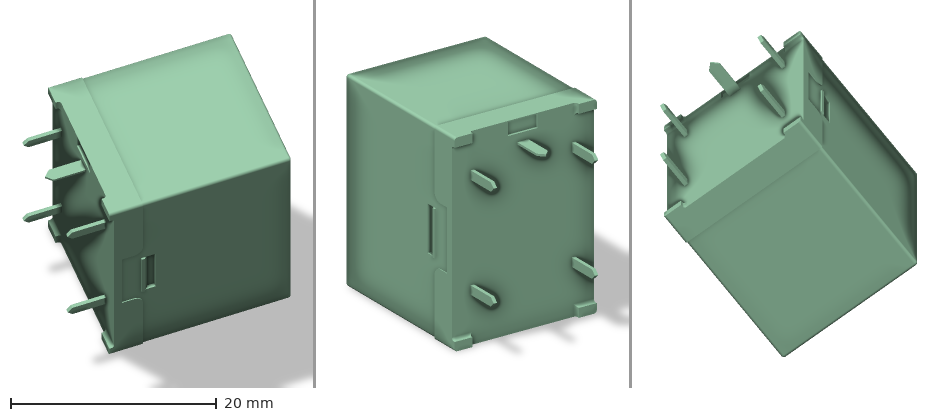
import cadquery as cq


BASE_WIDTH = 16.7
BASE_HEIGHT = 22.7
BASE_STEP = 0.1
COVER_WIDTH = BASE_WIDTH - 2 * BASE_STEP
COVER_HEIGHT = BASE_HEIGHT - 2 * BASE_STEP
FLOOR_Y = 0.5
BASE_TOP_Y = 3.5
REAR_Y = 19.0
EDGE_RADIUS = 0.3

FOOT_WIDTH = 2.1
FOOT_HEIGHT = 1.05
FOOT_FILLET = 0.3

TONGUE_END_Y = 1.3
TONGUE_HEIGHT = 7.0
TONGUE_MOUTH_RADIUS = 1.0

CLIP_PROJECTION = 0.1
CLIP_HEIGHT = 5.25
CLIP_START_Y = 3.35
CLIP_CREST_END_Y = 3.65
CLIP_RAMP_END_Y = 4.15
WINDOW_END_Y = 4.85
WINDOW_DEPTH = 0.4

RECESS_WIDTH = 3.5
RECESS_HEIGHT = 1.5
RECESS_DEPTH = 0.3

PIN_TIP_Y = -3.5
SIDE_PIN_X = 5.95
SIDE_PIN_LEVELS = (6.7, -5.5)
SIDE_PIN_WIDTH = 1.0
SIDE_PIN_THICKNESS = 0.4
CENTRE_PIN_Z = 8.7
CENTRE_PIN_WIDTH = 1.3
CENTRE_PIN_THICKNESS = 0.25

SIDES = (-1, 1)


def block(x_range, y_range, z_range):
    """Box spanning the given (low, high) ranges."""
    ranges = (x_range, y_range, z_range)
    size = [high - low for low, high in ranges]
    corner = tuple(low for low, high in ranges)
    return cq.Workplane("XY").box(*size, centered=False).translate(corner)


def centred_block(width, y_range, height):
    """Box centred in X and Z."""
    return block((-width / 2, width / 2), y_range, (-height / 2, height / 2))


def make_cover():
    cover = centred_block(COVER_WIDTH, (FLOOR_Y, REAR_Y), COVER_HEIGHT)
    return cover.edges("|Y or >Y").fillet(EDGE_RADIUS)


def make_foot_clearance():
    """Cross-shaped volume that clears the underside, rounded where the floor meets the feet."""
    gap_width = BASE_WIDTH - 2 * FOOT_WIDTH
    gap_height = BASE_HEIGHT - 2 * FOOT_HEIGHT
    across = centred_block(BASE_WIDTH, (0, FLOOR_Y), gap_height)
    upright = centred_block(gap_width, (0, FLOOR_Y), BASE_HEIGHT)
    reach_x = gap_width / 2 + FOOT_WIDTH / 2
    reach_z = gap_height / 2 + FOOT_HEIGHT / 2
    edges_beside_feet = cq.selectors.BoxSelector(
        (-reach_x, 0, -reach_z),
        (reach_x, BASE_TOP_Y, reach_z),
    )
    return across.union(upright).faces(">Y").edges(edges_beside_feet).fillet(FOOT_FILLET)


def make_tongue_cutter():
    """Full-width slot for both tongues, with rounded corners at its mouth."""
    half = TONGUE_HEIGHT / 2
    flare = half + TONGUE_MOUTH_RADIUS
    round_start_y = BASE_TOP_Y - TONGUE_MOUTH_RADIUS
    outline = (
        cq.Workplane("YZ")
        .moveTo(TONGUE_END_Y, -half)
        .lineTo(round_start_y, -half)
        .radiusArc((BASE_TOP_Y, -flare), TONGUE_MOUTH_RADIUS)
        .lineTo(BASE_TOP_Y, flare)
        .radiusArc((round_start_y, half), TONGUE_MOUTH_RADIUS)
        .lineTo(TONGUE_END_Y, half)
        .close()
    )
    return outline.extrude(BASE_WIDTH / 2, both=True)


def make_base():
    base = centred_block(BASE_WIDTH, (0, BASE_TOP_Y), BASE_HEIGHT)
    base = base.edges("|Y").fillet(EDGE_RADIUS)
    base = base.cut(make_foot_clearance())
    return base.cut(make_tongue_cutter())


def make_window(side):
    outer_x = side * COVER_WIDTH / 2
    inner_x = outer_x - side * WINDOW_DEPTH
    x_range = sorted((outer_x, inner_x))
    return block(x_range, (CLIP_START_Y, WINDOW_END_Y), (-CLIP_HEIGHT / 2, CLIP_HEIGHT / 2))


def make_clip(side):
    root_x = side * (COVER_WIDTH / 2 - WINDOW_DEPTH)
    crest_x = side * (BASE_WIDTH / 2 + CLIP_PROJECTION)
    profile = [
        (root_x, CLIP_START_Y),
        (crest_x, CLIP_START_Y),
        (crest_x, CLIP_CREST_END_Y),
        (root_x, CLIP_RAMP_END_Y),
    ]
    return cq.Workplane("XY").polyline(profile).close().extrude(CLIP_HEIGHT / 2, both=True)


def make_recess():
    top_z = COVER_HEIGHT / 2
    return block(
        (-RECESS_WIDTH / 2, RECESS_WIDTH / 2),
        (FLOOR_Y, FLOOR_Y + RECESS_DEPTH),
        (top_z - RECESS_HEIGHT, top_z),
    )


def make_pin(width, thickness):
    """Flat pin on the centre line, wide in X, with a 45 degree point."""
    half = width / 2
    shoulder_y = PIN_TIP_Y + half
    outline = [
        (-half, FLOOR_Y),
        (-half, shoulder_y),
        (0, PIN_TIP_Y),
        (half, shoulder_y),
        (half, FLOOR_Y),
    ]
    return cq.Workplane("XY").polyline(outline).close().extrude(thickness / 2, both=True)


result = make_cover().union(make_base()).cut(make_recess())

for side in SIDES:
    result = result.cut(make_window(side)).union(make_clip(side))

side_pin = make_pin(SIDE_PIN_WIDTH, SIDE_PIN_THICKNESS).rotate((0, 0, 0), (0, 1, 0), 90)
for side in SIDES:
    for level in SIDE_PIN_LEVELS:
        result = result.union(side_pin.translate((side * SIDE_PIN_X, 0, level)))

centre_pin = make_pin(CENTRE_PIN_WIDTH, CENTRE_PIN_THICKNESS)
result = result.union(centre_pin.translate((0, 0, CENTRE_PIN_Z)))